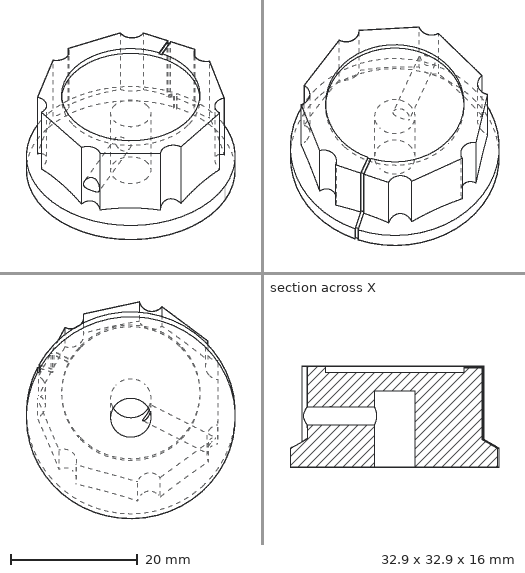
import cadquery as cq
import math

SKIRT_RADIUS = 16.46
SKIRT_HEIGHT = 3.0
SHOULDER_ANGLE = 30.0

KNOB_HEIGHT = 15.95
CORNER_RADIUS = 15.48
BACK_CORNER_ANGLE = 65.2
CORNER_ANGLES = (BACK_CORNER_ANGLE, 15.35, -38.9, -144.7, 164.65, 180 - BACK_CORNER_ANGLE)
FRONT_CORNER = (-0.05, -15.42)
FLUTE_RADIUS = 2.0
FLUTE_ANGLES = (65.15, 15.3, -38.85, -145.0, 164.7, 114.85)
FRONT_FLUTE_CENTER = (0.0, -15.8)

RECESS_RADIUS = 10.9
RECESS_DEPTH = 1.0

POINTER_WIDTH = 0.5
POINTER_DEPTH = 0.25
BACK_FLAT_Y = CORNER_RADIUS * math.sin(math.radians(BACK_CORNER_ANGLE))

BORE_RADIUS = 3.175
BORE_DEPTH = 12.0
SCREW_HOLE_RADIUS = 1.4
SCREW_HOLE_Z = 8.1

CLEARANCE = 1.0


def polar_point(radius, angle):
    """Point in the XY plane at an angle in degrees from +X."""
    turn = math.radians(angle)
    return (radius * math.cos(turn), radius * math.sin(turn))


def shoulder_height(radius):
    """Height of the conical shoulder at a distance from the axis."""
    return SKIRT_HEIGHT + (SKIRT_RADIUS - radius) * math.tan(math.radians(SHOULDER_ANGLE))


def make_skirt():
    profile = [
        (0, 0),
        (SKIRT_RADIUS, 0),
        (SKIRT_RADIUS, SKIRT_HEIGHT),
        (RECESS_RADIUS, shoulder_height(RECESS_RADIUS)),
        (0, shoulder_height(RECESS_RADIUS)),
    ]
    return cq.Workplane("XZ").polyline(profile).close().revolve(360, (0, 0), (0, 1))


def make_grip():
    corners = [polar_point(CORNER_RADIUS, angle) for angle in CORNER_ANGLES]
    corners.insert(len(corners) // 2, FRONT_CORNER)
    grip = cq.Workplane("XY").polyline(corners).close().extrude(KNOB_HEIGHT)
    flute_centers = [polar_point(CORNER_RADIUS, angle) for angle in FLUTE_ANGLES]
    flute_centers.append(FRONT_FLUTE_CENTER)
    flutes = cq.Workplane("XY").pushPoints(flute_centers).circle(FLUTE_RADIUS).extrude(KNOB_HEIGHT)
    return grip.cut(flutes)


def make_recess():
    floor = cq.Workplane("XY").workplane(offset=KNOB_HEIGHT - RECESS_DEPTH)
    return floor.circle(RECESS_RADIUS).extrude(RECESS_DEPTH + CLEARANCE)


def make_pointer_groove():
    """Thin slab whose inner edge follows the outer surface at the groove depth."""
    rim_y = SKIRT_RADIUS - POINTER_DEPTH
    wall_y = BACK_FLAT_Y - POINTER_DEPTH
    inner_y = RECESS_RADIUS - CLEARANCE
    outer_y = SKIRT_RADIUS + CLEARANCE
    top_z = KNOB_HEIGHT + CLEARANCE
    floor_z = KNOB_HEIGHT - POINTER_DEPTH
    profile = [
        (rim_y, -CLEARANCE),
        (rim_y, SKIRT_HEIGHT),
        (wall_y, shoulder_height(BACK_FLAT_Y)),
        (wall_y, floor_z),
        (inner_y, floor_z),
        (inner_y, top_z),
        (outer_y, top_z),
        (outer_y, -CLEARANCE),
    ]
    return cq.Workplane("YZ").polyline(profile).close().extrude(POINTER_WIDTH / 2, both=True)


def make_shaft_bore():
    return cq.Workplane("XY").circle(BORE_RADIUS).extrude(BORE_DEPTH)


def make_screw_hole():
    """Radial hole from the shaft axis out through the front flute."""
    return cq.Workplane("XZ").center(0, SCREW_HOLE_Z).circle(SCREW_HOLE_RADIUS).extrude(SKIRT_RADIUS)


knob = make_skirt().union(make_grip())
knob = knob.cut(make_recess()).cut(make_pointer_groove())
result = knob.cut(make_shaft_bore()).cut(make_screw_hole())